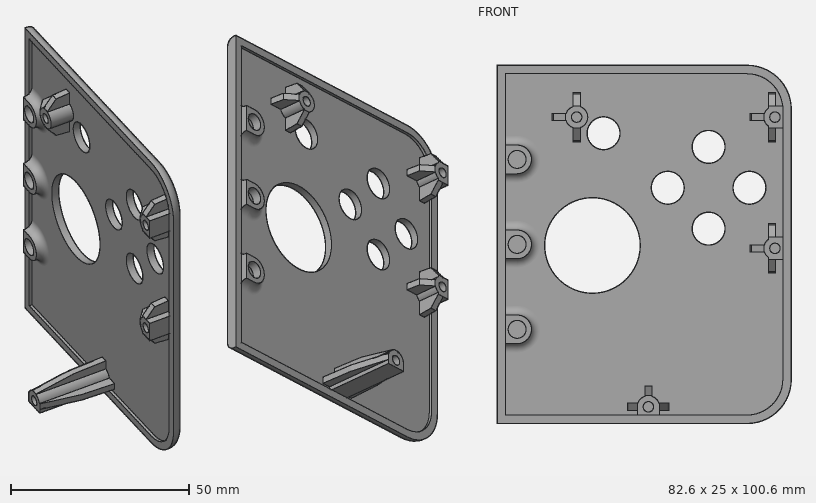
import cadquery as cq

plate_width = 82.6
plate_height = 100.6
plate_thickness = 3.2
corner_radius = 12.5
back_round_radius = 2.5

rim_width = 2.4
recess_depth = 0.9
recess_right = plate_width - rim_width
recess_top = plate_height - rim_width

button_diameter = 9.2
button_spacing = 11.5
button_center = (59.3, 66.2)
single_button_center = (29.9, 81.5)
dial_diameter = 26.8
dial_center = (26.8, 50.0)

boss_x = 5.6
boss_middle_z = 50.3
boss_pitch = 23.8
boss_radius = 4.0
boss_flare = 2.5
boss_projection = 1.9
boss_hole_diameter = 5.0

post_radius = 3.1
post_hole_diameter = 2.9
rib_thickness = 2.0
rib_draft = 0.4

short_post_projection = 6.3
short_rib_reach = 6.9
short_rib_shoulder = 3.5
short_post_upper_z = 86.0
short_post_lower_z = 49.2
left_post_x = 22.3
right_post_x = 77.9
right_post_rib_offset = -0.8

overall_depth = 25.0
long_post_projection = overall_depth - plate_thickness
long_rib_reach = 5.8
long_rib_shoulder = 9.5
long_post_center = (42.4, 4.7)


def cylinder(center, diameter, start_y, end_y):
    """Cylinder along Y, centred on an (x, z) position."""
    x, z = center
    base = cq.Workplane("XZ", origin=(x, end_y, z)).circle(diameter / 2)
    return base.extrude(end_y - start_y)


def block(x_range, y_range, z_range):
    """Axis-aligned block given by its limits."""
    limits = (x_range, y_range, z_range)
    sizes = [high - low for low, high in limits]
    corner = tuple(low for low, high in limits)
    return cq.Workplane("XY").box(*sizes, centered=False).translate(corner)


def make_plate():
    """Plate with rounded right corners, a rounded back edge and a recessed front."""
    plate = block((0, plate_width), (0, plate_thickness), (0, plate_height))
    plate = plate.edges("|Y and >X").fillet(corner_radius)
    plate = plate.faces(">Y").edges("not <X").fillet(back_round_radius)
    recess = block((rim_width, recess_right), (0, recess_depth), (rim_width, recess_top))
    recess = recess.edges("|Y and >X").fillet(corner_radius - rim_width)
    return plate.cut(recess)


def plate_openings():
    """Through openings: four buttons in a diamond, one single button and the dial."""
    x, z = button_center
    button_centers = [
        (x - button_spacing, z),
        (x + button_spacing, z),
        (x, z - button_spacing),
        (x, z + button_spacing),
        single_button_center,
    ]
    openings = cylinder(dial_center, dial_diameter, 0, plate_thickness)
    for center in button_centers:
        openings = openings.union(cylinder(center, button_diameter, 0, plate_thickness))
    return openings


def flared_half_profile():
    """Half outline of a boss, with a concave flare at the recess floor."""
    flare_end = recess_depth - boss_flare
    return (
        cq.Workplane("XY")
        .moveTo(0, recess_depth)
        .lineTo(boss_radius + boss_flare, recess_depth)
        .radiusArc((boss_radius, flare_end), -boss_flare)
        .lineTo(boss_radius, -boss_projection)
        .lineTo(0, -boss_projection)
        .close()
    )


def flared_boss(z):
    """Hollow boss with a round right end and straight sides running to the left rim."""
    round_end = flared_half_profile().revolve(360, (0, 0, 0), (0, 1, 0))
    half_run = flared_half_profile().extrude(boss_x - rim_width)
    half_run = half_run.rotate((0, 0, 0), (0, 1, 0), -90)
    boss = round_end.union(half_run).union(half_run.mirror("XY"))
    boss = boss.translate((boss_x, 0, z))
    keep = block(
        (rim_width, plate_width), (-boss_projection, recess_depth), (0, plate_height)
    )
    hole = cylinder((boss_x, z), boss_hole_diameter, -boss_projection, recess_depth)
    return boss.intersect(keep).cut(hole)


def rib(center, angle, reach, shoulder, projection):
    """Drafted rib pointing at the given angle from +X toward +Z, sloping in past its shoulder."""
    x, z = center
    profile = [
        (0, recess_depth),
        (reach, recess_depth),
        (reach - rib_draft, -shoulder),
        (post_radius, -projection),
        (0, -projection),
    ]
    web = cq.Workplane("XY").polyline(profile).close().extrude(rib_thickness / 2, both=True)
    return web.rotate((0, 0, 0), (0, 1, 0), -angle).translate((x, 0, z))


def short_post(center, rib_offset):
    """Short round post with ribs up, left and down; rib_offset shifts the vertical ribs in X."""
    x, z = center
    post = cylinder(center, 2 * post_radius, -short_post_projection, recess_depth)
    vertical_center = (x + rib_offset, z)
    for rib_center, angle in ((vertical_center, 90), (center, 180), (vertical_center, 270)):
        post = post.union(
            rib(rib_center, angle, short_rib_reach, short_rib_shoulder, short_post_projection)
        )
    return post


def right_post(center):
    """Short post squared off flush with the right rim."""
    x, z = center
    squared_side = block(
        (x, recess_right),
        (-short_post_projection, recess_depth),
        (z - post_radius, z + post_radius),
    )
    keep = block((0, recess_right), (-short_post_projection, recess_depth), (0, plate_height))
    return short_post(center, right_post_rib_offset).union(squared_side).intersect(keep)


def long_post():
    """Long post with ribs right, up and left, squared off flush with the bottom rim."""
    x, z = long_post_center
    post = cylinder(long_post_center, 2 * post_radius, -long_post_projection, recess_depth)
    squared_side = block(
        (x - post_radius, x + post_radius), (-long_post_projection, recess_depth), (rim_width, z)
    )
    post = post.union(squared_side)
    for angle in (0, 90, 180):
        post = post.union(
            rib(long_post_center, angle, long_rib_reach, long_rib_shoulder, long_post_projection)
        )
    keep = block(
        (0, plate_width), (-long_post_projection, recess_depth), (rim_width, plate_height)
    )
    return post.intersect(keep)


def post_hole(center, projection):
    """Blind screw hole from the post tip to the recess floor."""
    return cylinder(center, post_hole_diameter, -projection, recess_depth)


result = make_plate()

for row in (-1, 0, 1):
    result = result.union(flared_boss(boss_middle_z + row * boss_pitch))

left_post_center = (left_post_x, short_post_upper_z)
right_post_centers = [(right_post_x, z) for z in (short_post_lower_z, short_post_upper_z)]

result = result.union(short_post(left_post_center, 0))
for post_center in right_post_centers:
    result = result.union(right_post(post_center))
result = result.union(long_post())

for post_center in [left_post_center] + right_post_centers:
    result = result.cut(post_hole(post_center, short_post_projection))
result = result.cut(post_hole(long_post_center, long_post_projection))
result = result.cut(plate_openings())